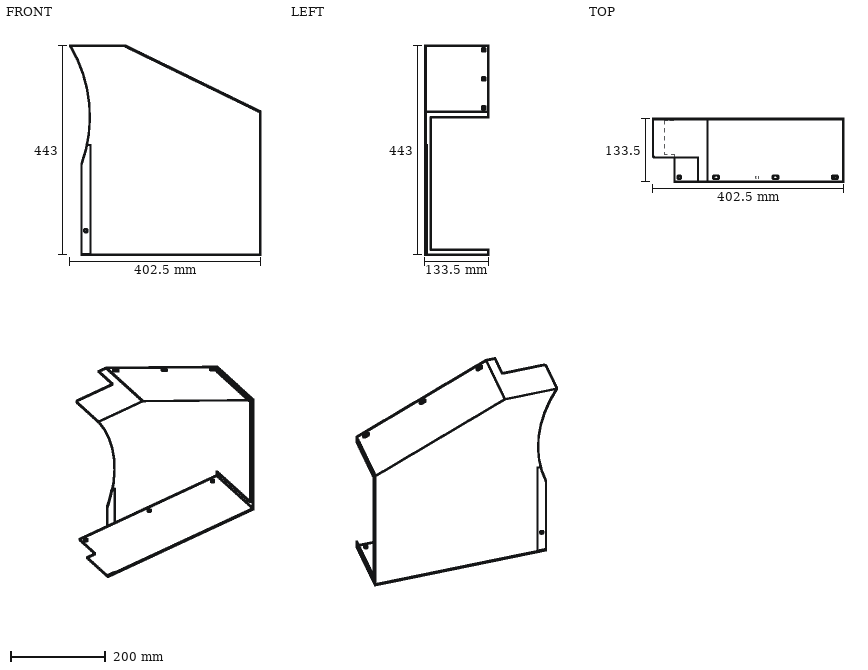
import cadquery as cq
import math

LENGTH = 402.5
DEPTH = 133.5
HEIGHT = 443.0
SHEET = 1.5

WALL_LEFT = 24.5
ROOF_BEND_X = 115.5
RIGHT_EDGE_Z = 303.0
CUTOUT_RADIUS = 292.5
CUTOUT_END_Z = 192.0

ROOF_NOTCH_X = 95.5
ROOF_NOTCH_DEPTH = 51.0
ROOF_CORNER_RADIUS = 5.0
FLOOR_NOTCH_X = 45.5
FLOOR_NOTCH_DEPTH = 57.5
LIP_WIDTH = 12.0

HOLE_DIAMETER = 6.5
HOLE_EDGE_DISTANCE = 9.7
FLOOR_HOLE_FIRST_X = 56.0
ROOF_SLOT_FIRST_X = 134.0
LAST_HOLE_X = 384.5
HOLES_PER_ROW = 3
SLOT_LENGTH = 13.5

STRIP_WIDTH = 19.0
STRIP_THICKNESS = 2.0
STRIP_BOTTOM = 2.0
STRIP_TOP = 233.0
STRIP_HOLE_Z = 52.0

ROOF_SLOPE = (HEIGHT - RIGHT_EDGE_Z) / (LENGTH - ROOF_BEND_X)
ROOF_ANGLE = math.degrees(math.atan(ROOF_SLOPE))
BACK_WALL_FRONT = DEPTH - SHEET


def box(x0, x1, y0, y1, z0, z1):
    """Box between pairs of X, Y and Z limits."""
    return cq.Workplane("XY").box(x1 - x0, y1 - y0, z1 - z0, centered=False).translate((x0, y0, z0))


def side_prism(points, y0, y1):
    """Closed XZ polygon extruded from y0 to y1."""
    return cq.Workplane("XZ", origin=(0, y0, 0)).polyline(points).close().extrude(y0 - y1)


def round_cutout():
    """Cylinder whose right side forms the concave left edge, from the roof tip to the straight edge."""
    chord_x = WALL_LEFT
    chord_z = CUTOUT_END_Z - HEIGHT
    chord = math.hypot(chord_x, chord_z)
    center_offset = math.sqrt(CUTOUT_RADIUS ** 2 - (chord / 2) ** 2)
    center_x = chord_x / 2 + center_offset * chord_z / chord
    center_z = HEIGHT + chord_z / 2 - center_offset * chord_x / chord
    return (
        cq.Workplane("XZ")
        .center(center_x, center_z)
        .circle(CUTOUT_RADIUS)
        .extrude(-DEPTH)
    )


def make_back_wall():
    outline = [
        (WALL_LEFT, 0),
        (LENGTH, 0),
        (LENGTH, RIGHT_EDGE_Z),
        (ROOF_BEND_X, HEIGHT),
        (0, HEIGHT),
        (WALL_LEFT, CUTOUT_END_Z),
    ]
    return side_prism(outline, BACK_WALL_FRONT, DEPTH).cut(round_cutout())


def make_roof():
    """Flat roof with a front notch, continued by the sloping sheet."""
    inner_bend_x = ROOF_BEND_X - SHEET * math.tan(math.radians(ROOF_ANGLE / 2))
    inner_right_z = RIGHT_EDGE_Z - SHEET / math.cos(math.radians(ROOF_ANGLE))
    profile = [
        (0, HEIGHT),
        (ROOF_BEND_X, HEIGHT),
        (LENGTH, RIGHT_EDGE_Z),
        (LENGTH, inner_right_z),
        (inner_bend_x, HEIGHT - SHEET),
        (0, HEIGHT - SHEET),
    ]
    roof = side_prism(profile, 0, DEPTH)
    notch = box(0, ROOF_NOTCH_X, 0, ROOF_NOTCH_DEPTH, HEIGHT - SHEET, HEIGHT)
    roof = roof.cut(notch)
    tip_corner = cq.selectors.NearestToPointSelector((0, ROOF_NOTCH_DEPTH, HEIGHT - SHEET / 2))
    return roof.edges("|Z").edges(tip_corner).fillet(ROOF_CORNER_RADIUS)


def make_floor():
    floor = box(WALL_LEFT, LENGTH, 0, DEPTH, 0, SHEET)
    return floor.cut(box(WALL_LEFT, FLOOR_NOTCH_X, 0, FLOOR_NOTCH_DEPTH, 0, SHEET))


def make_right_lip():
    """C-shaped lip bent inward from the roof, back wall and floor."""
    lip = box(LENGTH - SHEET, LENGTH, 0, DEPTH, 0, RIGHT_EDGE_Z)
    opening = box(
        LENGTH - SHEET, LENGTH, 0, DEPTH - LIP_WIDTH, LIP_WIDTH, RIGHT_EDGE_Z - LIP_WIDTH
    )
    return lip.cut(opening)


def hole_positions(first_x):
    pitch = (LAST_HOLE_X - first_x) / (HOLES_PER_ROW - 1)
    return [first_x + i * pitch for i in range(HOLES_PER_ROW)]


def floor_hole(x):
    return (
        cq.Workplane("XY")
        .center(x, HOLE_EDGE_DISTANCE)
        .circle(HOLE_DIAMETER / 2)
        .extrude(SHEET)
    )


def roof_slot(x):
    """Slot along the slope, cut square to the sloping sheet."""
    z = HEIGHT - (x - ROOF_BEND_X) * ROOF_SLOPE
    return (
        cq.Workplane("XY")
        .slot2D(SLOT_LENGTH, HOLE_DIAMETER)
        .extrude(SHEET, both=True)
        .rotate((0, 0, 0), (0, 1, 0), ROOF_ANGLE)
        .translate((x, HOLE_EDGE_DISTANCE, z))
    )


def strip_hole():
    """Hole shared by the strip and the back wall."""
    return (
        cq.Workplane("XZ", origin=(0, BACK_WALL_FRONT - STRIP_THICKNESS, 0))
        .center(WALL_LEFT + STRIP_WIDTH / 2, STRIP_HOLE_Z)
        .circle(HOLE_DIAMETER / 2)
        .extrude(-STRIP_THICKNESS - SHEET)
    )


def make_housing():
    housing = make_back_wall().union(make_roof()).union(make_floor()).union(make_right_lip())
    for x in hole_positions(FLOOR_HOLE_FIRST_X):
        housing = housing.cut(floor_hole(x))
    for x in hole_positions(ROOF_SLOT_FIRST_X):
        housing = housing.cut(roof_slot(x))
    return housing.cut(strip_hole())


def make_strip():
    strip = box(
        WALL_LEFT,
        WALL_LEFT + STRIP_WIDTH,
        BACK_WALL_FRONT - STRIP_THICKNESS,
        BACK_WALL_FRONT,
        STRIP_BOTTOM,
        STRIP_TOP,
    )
    return strip.cut(round_cutout()).cut(strip_hole())


housing = make_housing()
strip = make_strip()
result = cq.Compound.makeCompound([*housing.solids().vals(), *strip.solids().vals()])